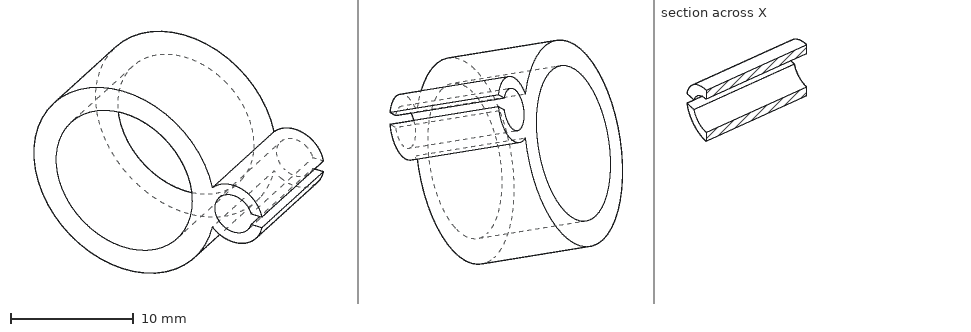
import cadquery as cq
import math

overall_length = 21.43
width = 10.0
ring_outer_diameter = 17.0
ring_bore_diameter = 12.8
clip_outer_diameter = 5.45
clip_bore_diameter = 3.5
slot_height = 1.0

ring_radius = ring_outer_diameter / 2
clip_radius = clip_outer_diameter / 2
clip_reach = math.sqrt(clip_radius**2 - (slot_height / 2) ** 2)
clip_x = overall_length - ring_radius - clip_reach


def cylinder(x, diameter):
    """Cylinder along Y, centred on Y = 0, with its axis at the given X."""
    return cq.Workplane("XZ").center(x, 0).circle(diameter / 2).extrude(width / 2, both=True)


ring = cylinder(0, ring_outer_diameter).cut(cylinder(0, ring_bore_diameter))

clip = cylinder(clip_x, clip_outer_diameter).cut(cylinder(0, ring_outer_diameter))
body = ring.union(clip).cut(cylinder(clip_x, clip_bore_diameter))

slot = (
    cq.Workplane("XY")
    .box(clip_radius, width, slot_height, centered=(False, True, True))
    .translate((clip_x, 0, 0))
)

result = body.cut(slot)